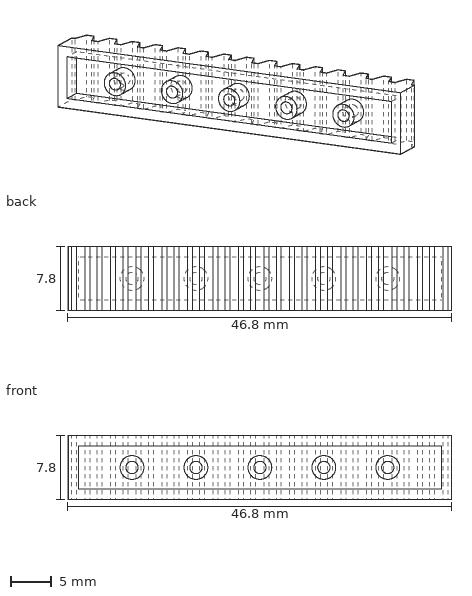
import cadquery as cq

length = 46.8
height = 7.8
total_depth = 5.75

tooth_count = 15
tooth_height = 1.9
tooth_root_width = 2.25
tooth_tip_width = 1.05
tooth_pitch = length / tooth_count
body_depth = total_depth - tooth_height

wall = 1.25
pocket_depth = body_depth - wall

module_count = 6
module_pitch = length / module_count
tube_outer_diameter = 2.9
tube_bore_diameter = 1.5


def make_body():
    """Rectangular block with its -Y face on y = 0, centred in X and Z."""
    return cq.Workplane("XY").box(length, body_depth, height, centered=(True, False, True))


def make_pocket():
    """Rectangular volume removed from the -Y face."""
    return cq.Workplane("XY").box(
        length - 2 * wall, pocket_depth, height - 2 * wall, centered=(True, False, True)
    )


def make_tubes():
    """Row of hollow tubes from the pocket floor to the rim."""
    tube_centres = [
        ((i - module_count / 2) * module_pitch, 0) for i in range(1, module_count)
    ]
    return (
        cq.Workplane("XZ", origin=(0, pocket_depth, 0))
        .pushPoints(tube_centres)
        .circle(tube_outer_diameter / 2)
        .circle(tube_bore_diameter / 2)
        .extrude(pocket_depth)
    )


def add_teeth(body):
    """Add the row of trapezoidal teeth, each running the full height."""
    for i in range(tooth_count):
        centre = (i + 0.5) * tooth_pitch - length / 2
        tooth = (
            cq.Workplane("XY")
            .polyline([
                (centre - tooth_root_width / 2, body_depth),
                (centre + tooth_root_width / 2, body_depth),
                (centre + tooth_tip_width / 2, total_depth),
                (centre - tooth_tip_width / 2, total_depth),
            ])
            .close()
            .extrude(height / 2, both=True)
        )
        body = body.union(tooth)
    return body


hollow_body = make_body().cut(make_pocket()).union(make_tubes())
result = add_teeth(hollow_body)